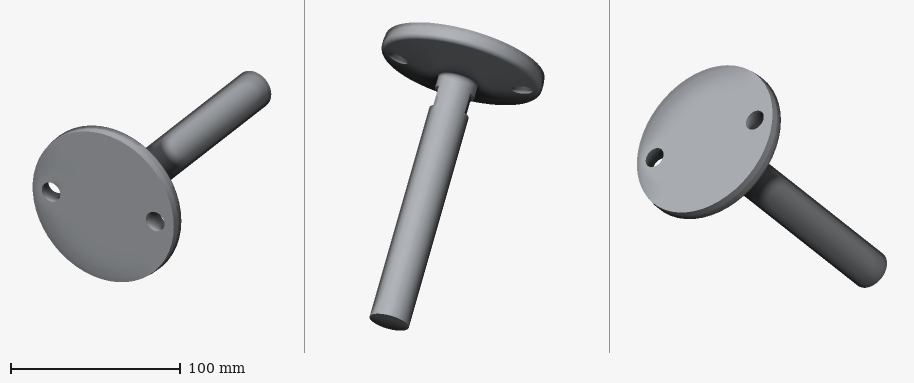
import math

import cadquery as cq

TOTAL_LENGTH = 172.0
PLATE_DIAMETER = 98.0
SOLE_DIAMETER = 97.0
STEM_DIAMETER = 24.0

DRAFT_HEIGHT = 4.0
RIM_HEIGHT = 7.0
RIM_ROUND_RADIUS = 3.0
CONE_ANGLE = 10.0
NECK_FILLET_RADIUS = 1.0

HOLE_DIAMETER = 12.5
HOLE_SOLE_OFFSET = 35.8

FLAT_WIDTH = 19.0
FLAT_START = 24.0
FLAT_LENGTH = 12.5

PLATE_RADIUS = PLATE_DIAMETER / 2
STEM_RADIUS = STEM_DIAMETER / 2


def on_circle(center, radius, angle):
    """Point on a circle, with the angle in degrees from the radial direction."""
    turn = math.radians(angle)
    return (center[0] + radius * math.cos(turn), center[1] + radius * math.sin(turn))


def make_body():
    """Stem and foot plate, revolved about Y from half of their section."""
    round_center = (PLATE_RADIUS - RIM_ROUND_RADIUS, RIM_HEIGHT)
    cone_start_angle = 90 - CONE_ANGLE
    round_middle = on_circle(round_center, RIM_ROUND_RADIUS, cone_start_angle / 2)
    cone_start = on_circle(round_center, RIM_ROUND_RADIUS, cone_start_angle)

    slope = math.tan(math.radians(CONE_ANGLE))
    neck_height = cone_start[1] + (cone_start[0] - STEM_RADIUS) * slope
    tangent_length = NECK_FILLET_RADIUS * math.tan(math.radians(cone_start_angle / 2))
    neck_corner = (STEM_RADIUS, neck_height)
    cone_end = on_circle(neck_corner, tangent_length, -CONE_ANGLE)
    fillet_end = (STEM_RADIUS, neck_height + tangent_length)
    fillet_center = (STEM_RADIUS + NECK_FILLET_RADIUS, fillet_end[1])
    fillet_middle = on_circle(fillet_center, NECK_FILLET_RADIUS, 180 + cone_start_angle / 2)

    section = (
        cq.Workplane("XY")
        .moveTo(0, 0)
        .lineTo(SOLE_DIAMETER / 2, 0)
        .lineTo(PLATE_RADIUS, DRAFT_HEIGHT)
        .lineTo(PLATE_RADIUS, RIM_HEIGHT)
        .threePointArc(round_middle, cone_start)
        .lineTo(*cone_end)
        .threePointArc(fillet_middle, fillet_end)
        .lineTo(STEM_RADIUS, TOTAL_LENGTH)
        .lineTo(0, TOTAL_LENGTH)
        .close()
    )
    return section.revolve(360, (0, 0, 0), (0, 1, 0))


def make_flat_cutter(side):
    """Block that cuts one wrench flat; side is +1 or -1 along X."""
    return (
        cq.Workplane("XY")
        .box(STEM_DIAMETER, FLAT_LENGTH, STEM_DIAMETER)
        .translate((side * (FLAT_WIDTH + STEM_DIAMETER) / 2, FLAT_START + FLAT_LENGTH / 2, 0))
    )


def make_hole_cutter(side):
    """Cylinder for one mounting hole, leaning outward as it rises from the sole."""
    lean = math.radians(CONE_ANGLE)
    axis = cq.Vector(side * math.sin(lean), math.cos(lean), 0)
    sole_point = cq.Vector(side * HOLE_SOLE_OFFSET, 0, 0)
    cutter_start = sole_point - axis * PLATE_RADIUS
    return cq.Solid.makeCylinder(HOLE_DIAMETER / 2, PLATE_DIAMETER, cutter_start, axis)


result = make_body()
for side in (-1, 1):
    result = result.cut(make_flat_cutter(side))
    result = result.cut(cq.Workplane(make_hole_cutter(side)))